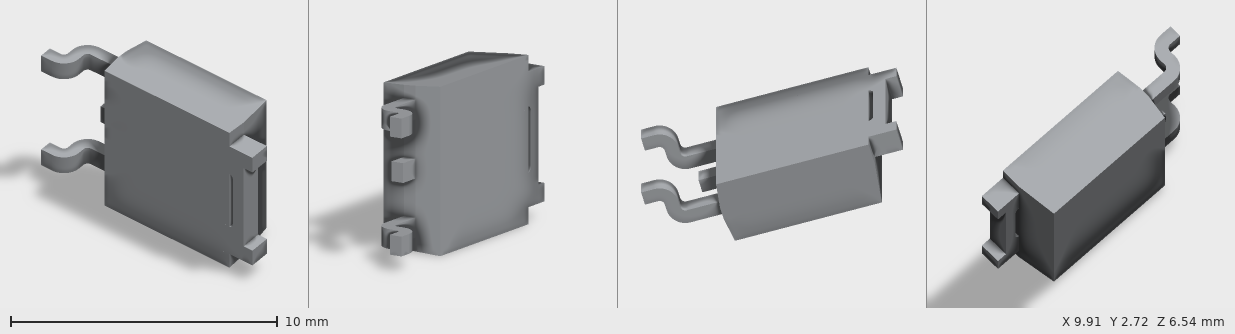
import cadquery as cq


TOTAL_LENGTH = 9.91
HOUSING_DEPTH = 2.55
HOUSING_FRONT_HEIGHT = 6.54
HOUSING_BACK_HEIGHT = 6.18

LEAD_WIDTH = 0.76
LEAD_THICKNESS = 0.53
LEAD_PITCH = 2.28
LEAD_INNER_RADIUS = 0.2
LEAD_OUTER_RADIUS = LEAD_INNER_RADIUS + LEAD_THICKNESS
FOOT_LENGTH = 0.52
FOOT_FRONT_Y = -0.17
FOOT_BACK_Y = FOOT_FRONT_Y + LEAD_THICKNESS
LEAD_FRONT_Y = 1.02
LEAD_BACK_Y = LEAD_FRONT_Y + LEAD_THICKNESS
STUB_START_X = 1.89

HOUSING_LEFT_X = 2.74
HOUSING_RIGHT_X = 8.82
LEFT_DRAFT = 0.14
RIGHT_DRAFT = 0.22

TAB_THICKNESS = 0.88
TAB_START_X = 4.51
NECK_START_X = 8.08
NECK_END_X = 8.49
PAD_HEIGHT = 4.86
NECK_HEIGHT = 4.5
EAR_HEIGHT = 5.22
END_NOTCH_DEPTH = 0.42
END_NOTCH_HEIGHT = 3.8
SLOT_WIDTH = 0.51
SLOT_HEIGHT = 2.6
SLOT_CENTER_X = NECK_END_X + SLOT_WIDTH / 2


def block(x_start, x_end, y_start, y_end, height):
    """Box between the given X and Y limits, centred on Z = 0."""
    return cq.Workplane("XY").box(
        x_end - x_start, y_end - y_start, height, centered=(False, False, True)
    ).translate((x_start, y_start, 0))


def make_tab():
    """Stepped heat tab with a through slot and a notch in its outer end."""
    pad = block(TAB_START_X, NECK_START_X, 0, TAB_THICKNESS, PAD_HEIGHT)
    neck = block(NECK_START_X, NECK_END_X, 0, TAB_THICKNESS, NECK_HEIGHT)
    ears = block(NECK_END_X, TOTAL_LENGTH, 0, TAB_THICKNESS, EAR_HEIGHT)
    end_notch = block(
        TOTAL_LENGTH - END_NOTCH_DEPTH, TOTAL_LENGTH, 0, TAB_THICKNESS, END_NOTCH_HEIGHT
    )
    slot = (
        cq.Workplane("XZ")
        .center(SLOT_CENTER_X, 0)
        .slot2D(SLOT_HEIGHT, SLOT_WIDTH, 90)
        .extrude(-TAB_THICKNESS)
    )
    return pad.union(neck).union(ears).cut(end_notch).cut(slot)


def make_housing(tab):
    """Drafted block with a recess for the tab; its material also fills the inner part of the slot."""
    side_profile = (
        cq.Workplane("XY")
        .moveTo(HOUSING_LEFT_X + LEFT_DRAFT, 0)
        .lineTo(HOUSING_RIGHT_X, 0)
        .lineTo(HOUSING_RIGHT_X, TAB_THICKNESS)
        .lineTo(HOUSING_RIGHT_X - RIGHT_DRAFT, HOUSING_DEPTH)
        .lineTo(HOUSING_LEFT_X + LEFT_DRAFT, HOUSING_DEPTH)
        .lineTo(HOUSING_LEFT_X, LEAD_BACK_Y)
        .lineTo(HOUSING_LEFT_X, LEAD_FRONT_Y)
        .close()
        .extrude(HOUSING_FRONT_HEIGHT / 2, both=True)
    )
    end_taper = (
        cq.Workplane("YZ")
        .moveTo(0, -HOUSING_FRONT_HEIGHT / 2)
        .lineTo(0, HOUSING_FRONT_HEIGHT / 2)
        .lineTo(HOUSING_DEPTH, HOUSING_BACK_HEIGHT / 2)
        .lineTo(HOUSING_DEPTH, -HOUSING_BACK_HEIGHT / 2)
        .close()
        .extrude(TOTAL_LENGTH)
    )
    return side_profile.intersect(end_taper).cut(tab)


def make_bent_lead(z_center):
    """S-bent lead from its foot to the housing face."""
    riser_right_x = FOOT_LENGTH + LEAD_OUTER_RADIUS
    riser_left_x = riser_right_x - LEAD_THICKNESS
    upper_bend_x = riser_left_x + LEAD_OUTER_RADIUS
    lower_bend_y = FOOT_FRONT_Y + LEAD_OUTER_RADIUS
    upper_bend_y = LEAD_BACK_Y - LEAD_OUTER_RADIUS
    return (
        cq.Workplane("XY")
        .workplane(offset=z_center)
        .moveTo(0, FOOT_FRONT_Y)
        .lineTo(FOOT_LENGTH, FOOT_FRONT_Y)
        .radiusArc((riser_right_x, lower_bend_y), -LEAD_OUTER_RADIUS)
        .lineTo(riser_right_x, upper_bend_y)
        .radiusArc((upper_bend_x, LEAD_FRONT_Y), LEAD_INNER_RADIUS)
        .lineTo(HOUSING_LEFT_X, LEAD_FRONT_Y)
        .lineTo(HOUSING_LEFT_X, LEAD_BACK_Y)
        .lineTo(upper_bend_x, LEAD_BACK_Y)
        .radiusArc((riser_left_x, upper_bend_y), -LEAD_OUTER_RADIUS)
        .lineTo(riser_left_x, lower_bend_y)
        .radiusArc((FOOT_LENGTH, FOOT_BACK_Y), LEAD_INNER_RADIUS)
        .lineTo(0, FOOT_BACK_Y)
        .close()
        .extrude(LEAD_WIDTH / 2, both=True)
    )


def make_stub_lead():
    """Short straight middle lead."""
    return block(STUB_START_X, HOUSING_LEFT_X, LEAD_FRONT_Y, LEAD_BACK_Y, LEAD_WIDTH)


tab = make_tab()
housing = make_housing(tab)
bent_leads = [make_bent_lead(side * LEAD_PITCH) for side in (-1, 1)]
stub_lead = make_stub_lead()

result = cq.Compound.makeCompound(
    [
        housing.solids().val(),
        tab.solids().val(),
        stub_lead.val(),
        *[lead.val() for lead in bent_leads],
    ]
)